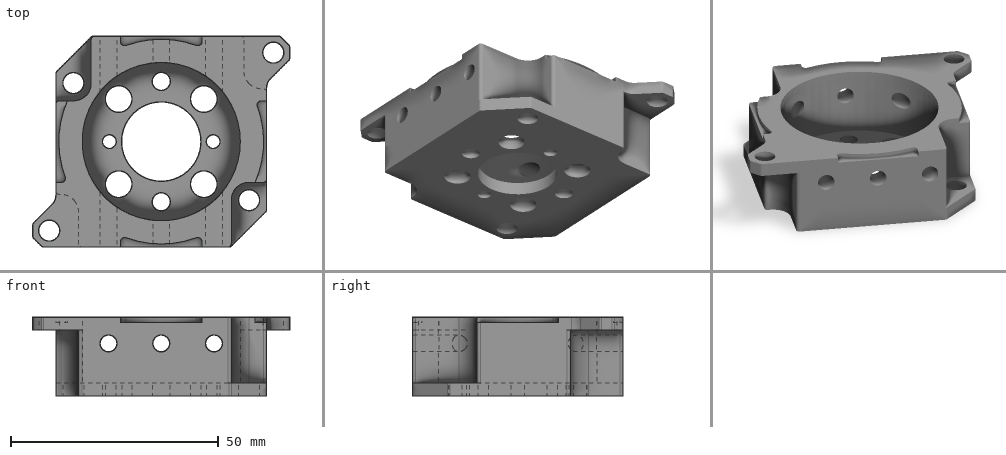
import cadquery as cq
import math

body_side = 50.8
height = 19.05
overall_length = 61.91
half_side = body_side / 2
ear_reach = overall_length / 2
flange_thickness = 3.175
ear_underside = height - flange_thickness
edge_radius = 0.794

ear_wall = 3.969
ear_hole_x = ear_reach - ear_wall
ear_hole_y = half_side - ear_wall
ear_root_radius = 3.175
ear_slant_offset = ear_hole_x - ear_hole_y + ear_wall * math.sqrt(2)
ear_tip_chamfer = ear_reach + half_side - (ear_hole_x + ear_hole_y + ear_wall * math.sqrt(2))

relief_depth_x = 5.5
relief_depth_y = 12.7
pocket_radius = 4.29

flange_hole_x = 21.15
flange_hole_y = 14.1
flange_chamfer = 8.73
pocket_x = flange_hole_x - pocket_radius
pocket_y = flange_hole_y - pocket_radius
mount_hole_diameter = 5.0

bore_diameter = 38.1
floor_thickness = 3.175
shaft_hole_diameter = 19.05
bolt_circle_radius = 14.5
large_hole_diameter = 6.35
medium_hole_diameter = 4.3
small_hole_diameter = 3.25
small_hole_offset = 12.5

wall_hole_diameter = 4.0
wall_hole_count = 3
wall_hole_pitch = 12.7
wall_hole_height = 12.7

recess_depth = 1.27
recess_circle_radius = 24.65
recess_half_width = pocket_y
recess_corner_radius = 1.0


def half_turn(x, y):
    """Both places of a feature that repeats after a half turn about Z."""
    return [(x, y), (-x, -y)]


def rounded_layer(half_outline, bottom, top):
    """Extrude an outline that repeats after a half turn; each corner is (x, y, rounding radius)."""
    corners = half_outline + [(-x, -y, radius) for x, y, radius in half_outline]
    arcs = []
    for index, (x, y, radius) in enumerate(corners):
        corner = cq.Vector(x, y)
        to_previous = (cq.Vector(*corners[index - 1][:2]) - corner).normalized()
        to_next = (cq.Vector(*corners[(index + 1) % len(corners)][:2]) - corner).normalized()
        half_angle = to_previous.getAngle(to_next) / 2
        tangent_length = radius / math.tan(half_angle)
        apex_distance = radius / math.sin(half_angle) - radius
        apex = corner + (to_previous + to_next).normalized() * apex_distance
        arcs.append((corner + to_previous * tangent_length, apex, corner + to_next * tangent_length))
    last_end = arcs[-1][2]
    outline = cq.Workplane("XY", origin=(0, 0, bottom)).moveTo(last_end.x, last_end.y)
    for start, apex, end in arcs:
        outline = outline.lineTo(start.x, start.y)
        outline = outline.threePointArc((apex.x, apex.y), (end.x, end.y))
    return outline.close().extrude(top - bottom)


relief_corners = [
    (-half_side, -half_side + relief_depth_y, edge_radius),
    (-half_side + relief_depth_x, -half_side + relief_depth_y, pocket_radius),
    (-half_side + relief_depth_x, -half_side, edge_radius),
]
ear_corners = [
    (-half_side, ear_slant_offset - half_side, ear_root_radius),
    (-ear_reach, ear_slant_offset - ear_reach, edge_radius),
    (-ear_reach, -half_side + ear_tip_chamfer, edge_radius),
    (-ear_reach + ear_tip_chamfer, -half_side, edge_radius),
]
flange_corners = [
    (half_side - flange_chamfer, -half_side, edge_radius),
    (half_side, -half_side + flange_chamfer, edge_radius),
]
pocket_corners = [
    (pocket_x, -half_side, edge_radius),
    (pocket_x, -pocket_y, pocket_radius),
    (half_side, -pocket_y, edge_radius),
]


def make_body():
    """Stack the flange level, the plain level and the ear level."""
    lower = rounded_layer(relief_corners + flange_corners, 0, flange_thickness)
    middle = rounded_layer(relief_corners + pocket_corners, flange_thickness, ear_underside)
    upper = rounded_layer(ear_corners + pocket_corners, ear_underside, height)
    return lower.union(middle).union(upper)


def vertical_holes(points, diameter):
    """Cylinders over the full height, one at each point."""
    return cq.Workplane("XY").pushPoints(points).circle(diameter / 2).extrude(height)


def cut_bore_and_holes(body):
    """Bore down to the floor, then drill every vertical hole."""
    bore = cq.Workplane("XY", origin=(0, 0, floor_thickness)).circle(bore_diameter / 2).extrude(height)
    diagonal = bolt_circle_radius / math.sqrt(2)
    large_points = half_turn(diagonal, diagonal) + half_turn(diagonal, -diagonal)
    mount_points = half_turn(ear_hole_x, ear_hole_y) + half_turn(flange_hole_x, -flange_hole_y)
    body = body.cut(bore)
    for points, diameter in (
        ([(0, 0)], shaft_hole_diameter),
        (large_points, large_hole_diameter),
        (half_turn(0, bolt_circle_radius), medium_hole_diameter),
        (half_turn(small_hole_offset, 0), small_hole_diameter),
        (mount_points, mount_hole_diameter),
    ):
        body = body.cut(vertical_holes(points, diameter))
    return body


def cut_wall_holes(body):
    """Drill a row of holes along Y through both walls."""
    holes = (
        cq.Workplane("XZ", origin=(0, 0, wall_hole_height))
        .rarray(wall_hole_pitch, 1, wall_hole_count, 1)
        .circle(wall_hole_diameter / 2)
        .extrude(half_side, both=True)
    )
    return body.cut(holes)


def make_recess(right_end, rounded_ends):
    """Recess at the +Y edge, reaching to right_end along X, with its inner corners rounded at some ends."""
    floor_level = height - recess_depth
    length = right_end + recess_half_width
    strip = (
        cq.Workplane("XY", origin=(-recess_half_width, 0, floor_level))
        .rect(length, half_side, centered=False)
        .extrude(recess_depth)
    )
    disc = cq.Workplane("XY", origin=(0, 0, floor_level)).circle(recess_circle_radius).extrude(recess_depth)
    recess = strip.cut(disc)
    for end in rounded_ends:
        recess = recess.faces(end).edges("<Y").fillet(recess_corner_radius)
    return recess


def cut_recesses(body):
    """Cut one shallow recess in each of the four top edges."""
    closed_recess = make_recess(recess_half_width, ("<X", ">X"))
    open_recess = make_recess(flange_hole_y, ("<X",))
    axis = ((0, 0, 0), (0, 0, 1))
    for recess, angle in ((closed_recess, 0), (closed_recess, 180), (open_recess, 90), (open_recess, -90)):
        body = body.cut(recess.rotate(*axis, angle))
    return body


result = cut_recesses(cut_wall_holes(cut_bore_and_holes(make_body())))